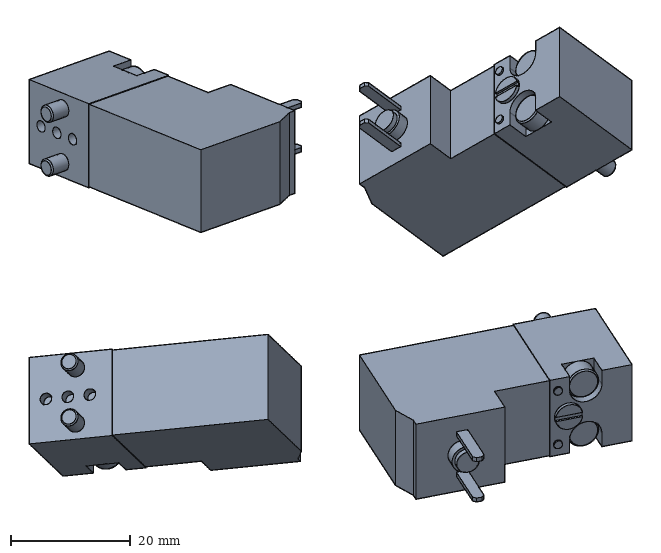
import cadquery as cq


block_length = 14.55
block_depth = 18.3
block_height = 15.2
port_diameter = 2.0
port_depth = 2.0
port_pitch = 3.85
middle_port_x = 6.8

total_length = 41.85
body_setback = 0.13
body_height = block_height - 2 * body_setback
body_low_y = block_depth - body_setback
body_high_y = 23.3
body_step_x = 24.3
body_slope_x = 40.05
body_slope_y = 22.0

screw_x = 8.2
screw_z = 4.85
shank_diameter = 3.0
shank_length = 3.75
screw_chamfer = 0.25
head_diameter = 5.5
head_height = 2.95
seat_y = 14.25
slot_width = 5.7

override_x = 11.35
override_diameter = 4.8
override_height = 0.63
driver_slot_width = 0.85
driver_slot_depth = 0.38
stud_x = 13.2
stud_z = 5.3
stud_diameter = 1.5
stud_height = 0.35

plug_x = 31.9
collar_diameter = 5.0
collar_height = 2.05
spigot_diameter = 4.0
spigot_height = 0.95
blade_width = 2.0
blade_thickness = 0.8
blade_length = 8.62
blade_chamfer = 0.5
blade_z = 4.0


def box(x_size, y_size, z_size, x, y, z=0):
    """Box centred on x and z that starts at y and extends toward +Y."""
    return cq.Workplane("XY").box(x_size, y_size, z_size, centered=(True, False, True)).translate((x, y, z))


def cylinder(diameter, length, x, y, z=0):
    """Cylinder along Y that starts at y and extends toward +Y."""
    axis = cq.Vector(0, 1, 0)
    return cq.Workplane(cq.Solid.makeCylinder(diameter / 2, length, cq.Vector(x, y, z), axis))


def make_block():
    block = box(block_length, block_depth, block_height, block_length / 2, 0)
    for index in (-1, 0, 1):
        port_x = middle_port_x + index * port_pitch
        block = block.cut(cylinder(port_diameter, port_depth, port_x, 0))
    slot_depth = block_depth - seat_y
    for side in (-1, 1):
        block = block.cut(cylinder(slot_width, slot_depth, screw_x, seat_y, side * screw_z))
        open_z = side * (screw_z + slot_width / 2)
        block = block.cut(box(slot_width, slot_depth, slot_width, screw_x, seat_y, open_z))
    return block


def make_body():
    outline = [
        (block_length, body_setback),
        (total_length, body_setback),
        (total_length, body_low_y),
        (body_slope_x, body_slope_y),
        (body_slope_x, body_high_y),
        (body_step_x, body_high_y),
        (body_step_x, body_low_y),
        (block_length, body_low_y),
    ]
    return cq.Workplane("XY").polyline(outline).close().extrude(body_height / 2, both=True)


def make_screw(z):
    shank = cylinder(shank_diameter, shank_length + seat_y, screw_x, -shank_length, z)
    head = cylinder(head_diameter, head_height, screw_x, seat_y, z)
    return shank.faces("<Y").chamfer(screw_chamfer).union(head.faces(">Y").chamfer(screw_chamfer))


def make_override():
    disc = cylinder(override_diameter, override_height, override_x, block_depth)
    slot_y = block_depth + override_height - driver_slot_depth
    return disc.cut(box(override_diameter, driver_slot_depth, driver_slot_width, override_x, slot_y))


def make_plug_boss():
    collar = cylinder(collar_diameter, collar_height, plug_x, body_high_y)
    return collar.union(cylinder(spigot_diameter, spigot_height, plug_x, body_high_y + collar_height))


def make_blade(z):
    blade = box(blade_width, blade_length, blade_thickness, plug_x, body_high_y, z)
    return blade.faces(">Y").edges("|Z").chamfer(blade_chamfer)


result = make_block().union(make_body()).union(make_override()).union(make_plug_boss())
for side in (-1, 1):
    result = result.union(make_screw(side * screw_z))
    result = result.union(cylinder(stud_diameter, stud_height, stud_x, block_depth, side * stud_z))
    result = result.union(make_blade(side * blade_z))